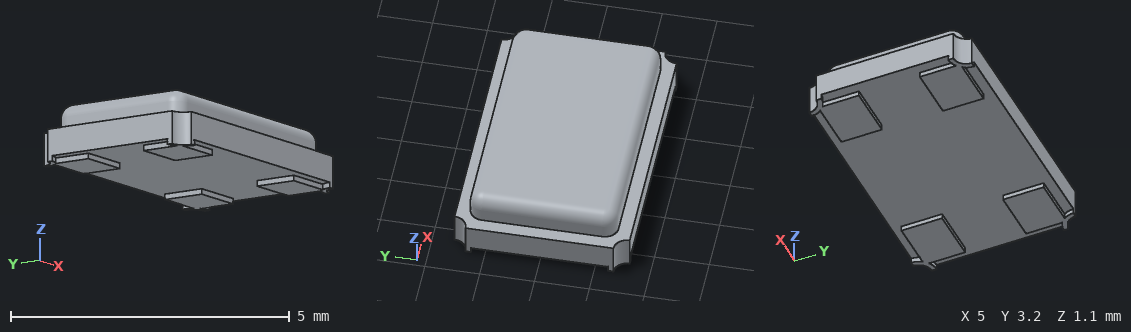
import cadquery as cq

length = 5.0
width = 3.2
height = 1.1

base_top = 0.6
pad_thickness = 0.1
notch_radius = 0.25

lid_inset = 0.25
lid_radius = 0.25

pad_length = 1.0
pad_width = 0.8
pad_inset = 0.2
collar_wall = 0.1
collar_radius = notch_radius + collar_wall

corners = [(sx * length / 2, sy * width / 2) for sx in (-1, 1) for sy in (-1, 1)]


def make_base():
    """Rectangular base plate standing on top of the pads."""
    return (
        cq.Workplane("XY", origin=(0, 0, pad_thickness))
        .rect(length, width)
        .extrude(base_top - pad_thickness)
    )


def make_lid():
    """Lid with rounded vertical corners and a rounded top edge."""
    return (
        cq.Workplane("XY", origin=(0, 0, base_top))
        .rect(length - 2 * lid_inset, width - 2 * lid_inset)
        .extrude(height - base_top)
        .edges("|Z")
        .fillet(lid_radius)
        .faces(">Z")
        .edges()
        .fillet(lid_radius)
    )


def make_pads():
    """Four rectangular pads, inset from the base edges."""
    spacing_x = length - 2 * pad_inset - pad_length
    spacing_y = width - 2 * pad_inset - pad_width
    return (
        cq.Workplane("XY")
        .rarray(spacing_x, spacing_y, 2, 2)
        .rect(pad_length, pad_width)
        .extrude(pad_thickness)
    )


def make_collars():
    """Quarter-round pad areas at the corners, trimmed to the base outline."""
    outline = cq.Workplane("XY").rect(length, width).extrude(pad_thickness)
    discs = cq.Workplane("XY").pushPoints(corners).circle(collar_radius).extrude(pad_thickness)
    return outline.intersect(discs)


def make_notches():
    """Cylindrical cutters that hollow the base and pads at each corner."""
    return cq.Workplane("XY").pushPoints(corners).circle(notch_radius).extrude(base_top)


body = make_base().union(make_pads()).union(make_collars())
result = body.cut(make_notches()).union(make_lid())